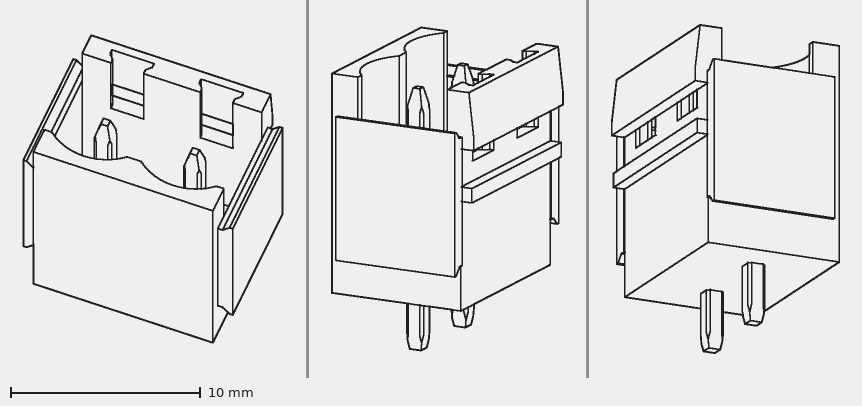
import cadquery as cq


POLE_PITCH = 5.08
POLE_CENTRES = [-POLE_PITCH / 2, POLE_PITCH / 2]

BODY_WIDTH = 10.21
BODY_HEIGHT = 12.02
FRONT_Y = -3.8
FRONT_INNER_Y = -2.25
REAR_INNER_Y = 3.07
REAR_Y = 3.88

OVERALL_WIDTH = 11.92
SIDE_FRONT_Y = -3.12
SIDE_REAR_Y = 3.94
SIDE_MARGIN = 2.08
RIM_HEIGHT = 0.41
RIM_EDGE = 0.18
RIM_SLOPE_WIDTH = 0.4
ROOT_BOTTOM_Z = SIDE_MARGIN + RIM_HEIGHT
ROOT_TOP_Z = BODY_HEIGHT - ROOT_BOTTOM_Z
CAVITY_FLOOR_Z = ROOT_BOTTOM_Z

HOOK_TOP_Y = 4.35
HOOK_TIP_Y = 4.64
HOOK_BOTTOM_Z = 8.88
HOOK_TIP_HEIGHT = 0.71
RIB_REAR_Y = 4.53
RIB_BOTTOM_Z = 6.0
RIB_HEIGHT = 0.79

SLOT_MOUTH_WIDTH = 1.85
SLOT_BACK_WIDTH = 2.4
SLOT_STRAIGHT = 0.25
SLOT_FLOOR_Z = 7.89

SCALLOP_CHORD = 4.29
SCALLOP_DEPTH = 0.8

PIN_WIDTH = 1.0
PIN_CHAMFER = 0.17
OVERALL_HEIGHT = 15.2
PIN_BOTTOM_Z = BODY_HEIGHT - OVERALL_HEIGHT
PIN_TOP_Z = 11.11
BOTTOM_TAPER = 0.9
BOTTOM_TIP_WIDTH = 0.67
TOP_TAPER = 1.28
TOP_TIP_WIDTH = 0.4


def block(width, front_y, rear_y, bottom_z, top_z):
    """Box centred on X between the given Y and Z limits."""
    return (
        cq.Workplane("XY", origin=(0, (front_y + rear_y) / 2, bottom_z))
        .rect(width, rear_y - front_y)
        .extrude(top_z - bottom_z)
    )


def side_walls():
    """Bar across the housing whose two ends form the flared side walls."""
    half_body = BODY_WIDTH / 2
    half_overall = OVERALL_WIDTH / 2
    edge_x = half_overall - RIM_EDGE
    root_x = edge_x - RIM_SLOPE_WIDTH
    rim_top_z = BODY_HEIGHT - SIDE_MARGIN
    wall = (
        cq.Workplane("XZ", origin=(0, SIDE_REAR_Y, 0))
        .polyline([
            (half_body, ROOT_BOTTOM_Z),
            (root_x, ROOT_BOTTOM_Z),
            (edge_x, SIDE_MARGIN),
            (half_overall, SIDE_MARGIN),
            (half_overall, rim_top_z),
            (edge_x, rim_top_z),
            (root_x, ROOT_TOP_Z),
            (half_body, ROOT_TOP_Z),
        ])
        .close()
        .extrude(SIDE_REAR_Y - SIDE_FRONT_Y)
    )
    return wall.union(wall.mirror("YZ"))


def latch_hook():
    """Sloped hook along the top of the rear wall."""
    return (
        cq.Workplane("YZ", origin=(-BODY_WIDTH / 2, 0, 0))
        .polyline([
            (REAR_INNER_Y, HOOK_BOTTOM_Z),
            (HOOK_TIP_Y, HOOK_BOTTOM_Z),
            (HOOK_TIP_Y, HOOK_BOTTOM_Z + HOOK_TIP_HEIGHT),
            (HOOK_TOP_Y, BODY_HEIGHT),
            (REAR_INNER_Y, BODY_HEIGHT),
        ])
        .close()
        .extrude(BODY_WIDTH)
    )


def dovetail_slot(x):
    """Slot cut down the rear wall; it opens to the rear below the hook."""
    mouth = SLOT_MOUTH_WIDTH / 2
    back = SLOT_BACK_WIDTH / 2
    neck_y = REAR_INNER_Y + SLOT_STRAIGHT
    shoulder_y = REAR_Y - SLOT_STRAIGHT
    return (
        cq.Workplane("XY", origin=(x, 0, SLOT_FLOOR_Z))
        .polyline([
            (-mouth, REAR_INNER_Y),
            (-mouth, neck_y),
            (-back, shoulder_y),
            (-back, REAR_Y),
            (back, REAR_Y),
            (back, shoulder_y),
            (mouth, neck_y),
            (mouth, REAR_INNER_Y),
        ])
        .close()
        .extrude(BODY_HEIGHT - SLOT_FLOOR_Z)
    )


def scallop(x):
    """Circular segment cut into the inner face of the front wall."""
    return (
        cq.Workplane("XY", origin=(x, FRONT_INNER_Y, CAVITY_FLOOR_Z))
        .moveTo(-SCALLOP_CHORD / 2, 0)
        .threePointArc((0, -SCALLOP_DEPTH), (SCALLOP_CHORD / 2, 0))
        .close()
        .extrude(BODY_HEIGHT - CAVITY_FLOOR_Z)
    )


def taper_envelope(x):
    """Square column, tapered at both ends, that bounds a pin."""
    shaft_bottom_z = PIN_BOTTOM_Z + BOTTOM_TAPER
    shaft_top_z = PIN_TOP_Z - TOP_TAPER
    shaft = (
        cq.Workplane("XY", origin=(x, 0, shaft_bottom_z))
        .rect(PIN_WIDTH, PIN_WIDTH)
        .extrude(shaft_top_z - shaft_bottom_z)
    )
    bottom_tip = (
        cq.Workplane("XY", origin=(x, 0, PIN_BOTTOM_Z))
        .rect(BOTTOM_TIP_WIDTH, BOTTOM_TIP_WIDTH)
        .workplane(offset=BOTTOM_TAPER)
        .rect(PIN_WIDTH, PIN_WIDTH)
        .loft(ruled=True)
    )
    top_tip = (
        cq.Workplane("XY", origin=(x, 0, shaft_top_z))
        .rect(PIN_WIDTH, PIN_WIDTH)
        .workplane(offset=TOP_TAPER)
        .rect(TOP_TIP_WIDTH, TOP_TIP_WIDTH)
        .loft(ruled=True)
    )
    return shaft.union(bottom_tip).union(top_tip)


def chamfered_column(x):
    """Full-length square column with its four long edges chamfered."""
    return (
        cq.Workplane("XY", origin=(x, 0, PIN_BOTTOM_Z))
        .rect(PIN_WIDTH, PIN_WIDTH)
        .extrude(PIN_TOP_Z - PIN_BOTTOM_Z)
        .edges("|Z")
        .chamfer(PIN_CHAMFER)
    )


def make_pin(x):
    """Chamfered square pin with pyramid-shaped ends."""
    return chamfered_column(x).intersect(taper_envelope(x))


def make_housing():
    """Base, front and rear walls, flared side walls and latch features."""
    housing = block(BODY_WIDTH, FRONT_Y, REAR_Y, 0, BODY_HEIGHT)
    housing = housing.cut(
        block(BODY_WIDTH, FRONT_INNER_Y, REAR_INNER_Y, CAVITY_FLOOR_Z, BODY_HEIGHT)
    )
    housing = housing.union(side_walls())
    housing = housing.union(latch_hook())
    housing = housing.union(
        block(BODY_WIDTH, REAR_Y, RIB_REAR_Y, RIB_BOTTOM_Z, RIB_BOTTOM_Z + RIB_HEIGHT)
    )
    for x in POLE_CENTRES:
        housing = housing.cut(dovetail_slot(x))
        housing = housing.cut(scallop(x))
        housing = housing.cut(chamfered_column(x))
    return housing


housing = make_housing()
pins = [make_pin(x) for x in POLE_CENTRES]

result = cq.Compound.makeCompound([housing.val(), *[pin.val() for pin in pins]])